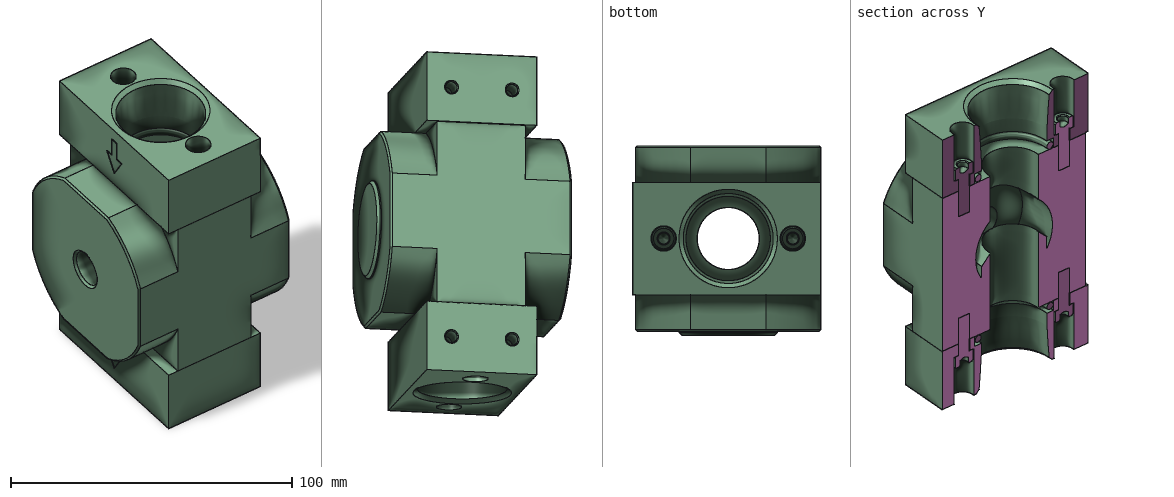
import cadquery as cq
import math

housing_size = 66.0
core_thickness = 32.0
disc_radius = 35.6
disc_chamfer = 0.7
half = housing_size / 2
core_half = core_thickness / 2

passage_dia = 22.0
chamber_dia = 35.0
seat_outer_dia = 30.0
seat_cone_height = (seat_outer_dia - passage_dia) / 2
front_hole_mouth_dia = 14.7
front_hole_top_dia = 13.0
front_hole_dia = 11.8
front_hole_taper_end = 10.0

cap_protrusion = 1.5
cap_chamfer = 1.0

total_height = 116.0
flange_height = (total_height - housing_size) / 2
flange_width = 67.0
flange_depth = 40.0
flange_x = half - flange_width / 2
flange_mid_z = half + flange_height / 2
port_mouth_dia = 35.0
port_top_dia = 32.0
port_dia = 30.0
port_mouth_depth = (port_mouth_dia - port_top_dia) / 2
port_taper_end = 15.5

ring_section_dia = 3.0
ring_recess_depth = 4.0
ring_recess_dia = port_dia + 2 * ring_section_dia

screw_x = 23.0
shank_dia = 5.0
shank_length = 16.0
head_dia = 8.5
head_height = 5.0
head_chamfer = 0.6
socket_mouth_dia = 4.6
socket_dia = 4.0
socket_depth = 2.4
counterbore_dia = 9.0
clearance_dia = 5.3
seat_thickness = 5.0
screw_seat_z = half + seat_thickness
screw_tip_z = screw_seat_z - shank_length

side_hole_y = 11.0
side_hole_dia = 4.2
side_hole_mouth_dia = 5.0
side_hole_depth = 10.0

arrow_length = 15.0
arrow_head_length = 7.5
arrow_head_width = 9.0
arrow_shaft_width = 3.0
arrow_depth = 0.2

drill_tip_angle = 118.0


def revolved(profile):
    """Solid of revolution about Z from (radius, z) points; the closing line lies on the axis."""
    return cq.Workplane("XZ").polyline(profile).close().revolve(360, (0, 0), (0, 1))


def z_cylinder(diameter, z_low, z_high, x=0.0):
    return cq.Workplane("XY", origin=(x, 0, z_low)).circle(diameter / 2).extrude(z_high - z_low)


def y_cylinder(diameter, y_front, y_rear):
    return cq.Workplane("XZ", origin=(0, y_front, 0)).circle(diameter / 2).extrude(-(y_rear - y_front))


def blind_hole(mouth_dia, dia, depth):
    """Cutter with its mouth at the origin, going down -Z: 45 degree countersink, drill-point end."""
    countersink = (mouth_dia - dia) / 2
    tip_height = dia / 2 / math.tan(math.radians(drill_tip_angle / 2))
    return revolved([
        (0, 0),
        (mouth_dia / 2, 0),
        (dia / 2, -countersink),
        (dia / 2, -depth),
        (0, -depth - tip_height),
    ])


def mirrored(body):
    return body.mirror("XY")


def make_housing_blank():
    discs = y_cylinder(2 * disc_radius, -half, half)
    discs = discs.intersect(cq.Workplane("XY").box(housing_size, housing_size, housing_size))
    discs = discs.faces("<Y or >Y").chamfer(disc_chamfer)
    core = cq.Workplane("XY").box(housing_size, core_thickness, housing_size)
    return core.union(discs)


def make_valve_seat():
    """Tube with a conical top that rises from the chamber floor to the middle of the housing."""
    tube = z_cylinder(seat_outer_dia, -chamber_dia / 2, -seat_cone_height)
    cone = revolved([
        (0, -seat_cone_height),
        (seat_outer_dia / 2, -seat_cone_height),
        (passage_dia / 2, 0),
        (0, 0),
    ])
    return tube.union(cone)


def make_front_hole():
    mouth_depth = (front_hole_mouth_dia - front_hole_top_dia) / 2
    cutter = revolved([
        (0, half),
        (front_hole_mouth_dia / 2, half),
        (front_hole_top_dia / 2, half - mouth_depth),
        (front_hole_dia / 2, half - front_hole_taper_end),
        (front_hole_dia / 2, core_half),
        (0, core_half),
    ])
    return cutter.rotate((0, 0, 0), (1, 0, 0), 90)


def make_housing():
    housing = make_housing_blank()
    housing = housing.cut(y_cylinder(chamber_dia, -core_half, half))
    housing = housing.union(make_valve_seat())
    housing = housing.cut(z_cylinder(passage_dia, -half, half))
    housing = housing.cut(make_front_hole())
    for x in (-screw_x, screw_x):
        screw_hole = z_cylinder(shank_dia, screw_tip_z, half, x)
        housing = housing.cut(screw_hole).cut(mirrored(screw_hole))
    return housing


def make_cap():
    cap = y_cylinder(chamber_dia, core_half, half + cap_protrusion)
    return cap.faces(">Y").chamfer(cap_chamfer)


def make_port():
    top = total_height / 2
    recess_top = half + ring_recess_depth
    return revolved([
        (0, top),
        (port_mouth_dia / 2, top),
        (port_top_dia / 2, top - port_mouth_depth),
        (port_dia / 2, top - port_taper_end),
        (port_dia / 2, recess_top),
        (ring_recess_dia / 2, recess_top),
        (ring_recess_dia / 2, half),
        (0, half),
    ])


def make_upper_flange():
    flange = cq.Workplane("XY", origin=(flange_x, 0, flange_mid_z))
    flange = flange.box(flange_width, flange_depth, flange_height)
    flange = flange.cut(make_port())
    for x in (-screw_x, screw_x):
        flange = flange.cut(z_cylinder(clearance_dia, half, screw_seat_z, x))
        flange = flange.cut(z_cylinder(counterbore_dia, screw_seat_z, total_height / 2, x))
    side_hole = blind_hole(side_hole_mouth_dia, side_hole_dia, side_hole_depth)
    side_hole = side_hole.rotate((0, 0, 0), (0, 1, 0), -90)
    for y in (-side_hole_y, side_hole_y):
        flange = flange.cut(side_hole.translate((flange_x - flange_width / 2, y, flange_mid_z)))
    return flange


def make_arrow(mid_z):
    """Cutter for a downward arrow in the front face of a flange."""
    tail = arrow_length / 2
    neck = arrow_head_length - arrow_length / 2
    right_side = [
        (arrow_shaft_width / 2, tail),
        (arrow_shaft_width / 2, neck),
        (arrow_head_width / 2, neck),
    ]
    left_side = [(-x, z) for x, z in reversed(right_side)]
    outline = right_side + [(0, -tail)] + left_side
    face = cq.Workplane("XZ", origin=(flange_x, -flange_depth / 2, mid_z))
    return face.polyline(outline).close().extrude(-arrow_depth)


def make_upper_ring():
    centre_radius = (port_dia + ring_section_dia) / 2
    section = cq.Workplane("XZ").center(centre_radius, half + ring_section_dia / 2)
    return section.circle(ring_section_dia / 2).revolve(360, (-centre_radius, 0), (-centre_radius, 1))


def make_upper_screw(x):
    head_top_z = screw_seat_z + head_height
    head = z_cylinder(head_dia, screw_seat_z, head_top_z).faces(">Z").chamfer(head_chamfer)
    screw = head.union(z_cylinder(shank_dia, screw_tip_z, screw_seat_z))
    socket = blind_hole(socket_mouth_dia, socket_dia, socket_depth)
    screw = screw.cut(socket.translate((0, 0, head_top_z)))
    return screw.translate((x, 0, 0))


housing = make_housing()
cap = make_cap()

plain_flange = make_upper_flange()
upper_flange = plain_flange.cut(make_arrow(flange_mid_z))
lower_flange = mirrored(plain_flange).cut(make_arrow(-flange_mid_z))

upper_ring = make_upper_ring()
lower_ring = mirrored(upper_ring)

screws = []
for screw_position in (-screw_x, screw_x):
    upper_screw = make_upper_screw(screw_position)
    screws += [upper_screw.val(), mirrored(upper_screw).val()]

result = cq.Compound.makeCompound([
    housing.val(),
    cap.val(),
    upper_flange.val(),
    lower_flange.val(),
    upper_ring.val(),
    lower_ring.val(),
    *screws,
])